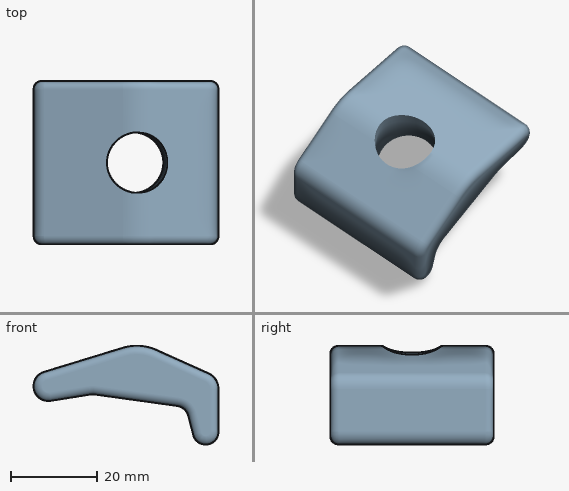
import cadquery as cq
import math

length = 43.0
width = 38.0
height = 23.0
edge_radius = 1.98

nose_radius = 3.5
crest_radius = 11.0
shoulder_radius = 4.0
foot_radius = 3.0
inner_radius = 3.0
bend_radius = 4.0

nose_z = 13.6
crest_x = 24.0
shoulder_z = 12.95
inner_x = 33.02
inner_z = 5.98
bend_x = 13.75
bend_z = 7.65

hole_diameter = 14.0
hole_x = 23.7
hole_z = 16.35
hole_tilt = 5.0

corners = [
    (nose_radius, nose_z, nose_radius),
    (crest_x, height - crest_radius, crest_radius),
    (length - shoulder_radius, shoulder_z, shoulder_radius),
    (length - foot_radius, foot_radius, foot_radius),
    (inner_x, inner_z, -inner_radius),
    (bend_x, bend_z, -bend_radius),
]


def tangent_normal(start, end):
    """Angle of the outward normal of the line tangent to two successive corners."""
    dx = end[0] - start[0]
    dz = end[1] - start[1]
    heading = math.atan2(dz, dx)
    lean = math.asin((end[2] - start[2]) / math.hypot(dx, dz))
    return heading + math.pi / 2 + lean


def point_on(corner, angle):
    """Point of a corner arc where the outward normal of the outline has this angle."""
    x, z, radius = corner
    return (x + radius * math.cos(angle), z + radius * math.sin(angle))


def make_profile():
    """Closed outline of corner arcs joined by tangent lines."""
    count = len(corners)
    normals = [tangent_normal(corners[i], corners[(i + 1) % count]) for i in range(count)]
    outline = cq.Workplane("XZ").moveTo(*point_on(corners[0], normals[0]))
    for i in range(1, count + 1):
        corner = corners[i % count]
        start = normals[i - 1]
        end = normals[i % count]
        turn = math.remainder(end - start, 2 * math.pi)
        outline = outline.lineTo(*point_on(corner, start))
        outline = outline.threePointArc(point_on(corner, start + turn / 2), point_on(corner, end))
    return outline.close()


def make_hole():
    """Tilted cylinder long enough to pass through the whole body."""
    tilt = math.radians(hole_tilt)
    axis = cq.Vector(math.sin(tilt), 0, math.cos(tilt))
    base = cq.Vector(hole_x, 0, hole_z) - axis * height
    return cq.Solid.makeCylinder(hole_diameter / 2, 2 * height, base, axis)


body = make_profile().extrude(width / 2, both=True)
body = body.faces("<Y or >Y").edges().fillet(edge_radius)
result = body.cut(make_hole())